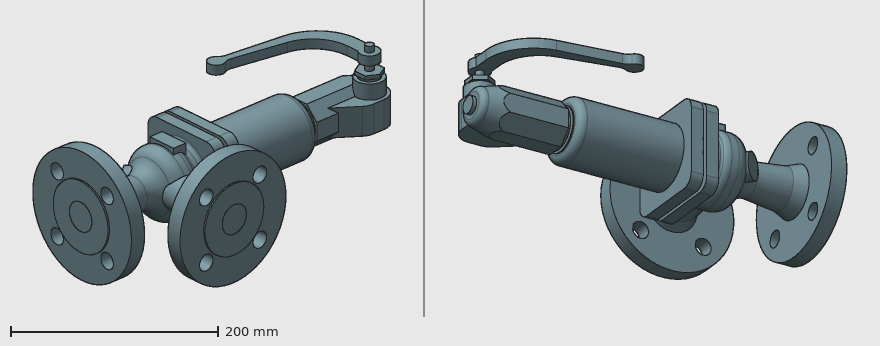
import cadquery as cq
import math


overall_width = 178.0

flange_diameter = 140.0
flange_thickness = 17.5
raised_face_radius = 38.8
raised_face_height = 2.0
face_distance = 105.0
bore_radius = 16.0
bore_mark_depth = 0.2
bolt_count = 4
bolt_circle_radius = 50.0
bolt_hole_radius = 9.0
hub_radius = 28.3
hub_start = 71.3
pipe_end_radius = 23.0
flange_radius = flange_diameter / 2
flange_back = face_distance - raised_face_height - flange_thickness

neck_radius = 35.0
neck_bottom = 18.2
neck_fillet = 4.3
bulb_radius = 39.5
bulb_top = 8.0
bulb_upper_round = 9.5
bulb_lower_round = 16.0
waist_radius = 18.5
waist_depth = 34.0
outlet_root_radius = 19.0
outlet_root_distance = 19.5

boss_angle = 38.5
boss_radius = 14.7
boss_reach = 36.0

pad_width = 33.5
pad_bottom = 2.0
pad_length = 16.3
pad_top = 43.0

square_side = 95.7
square_corner_radius = 13.0
square_thickness = 13.5
body_flange_bottom = 28.3
bonnet_flange_bottom = 45.7
gasket_radius = 42.0
gasket_thickness = 1.0
spigot_radius = 37.5
body_flange_top = body_flange_bottom + square_thickness

barrel_radius = 34.5
barrel_top = 177.0
barrel_round = 8.5
barrel_collar_radius = 24.0
barrel_collar_height = 1.0

cap_sides = 8
cap_bottom = 183.5
cap_across_flats = 49.2
cap_skirt_radius = 22.5
cap_skirt_height = 3.5
cap_neck_radius = 19.5
cap_cone_bottom = 248.0
cap_cone_bottom_radius = 27.0
cap_shoulder_radius = 20.5
cap_shoulder = 271.2
cap_crown_radius = 14.0
cap_crown = 278.2
cap_button_radius = 9.3
cap_top = 282.5

spindle_x = 21.7
spindle_y = 255.8
housing_radius = 20.5
housing_half_height = 16.3
housing_tip = (18.5, 204.0)
housing_elbow_y = 236.0
housing_elbow_round = 19.5

turret_radius = 16.3
turret_top = 33.7
gland_radius = 11.5
nut_bottom = 37.0
nut_top = 41.5
nut_across_corners = 29.5
spindle_radius = 4.5
spindle_top = 68.5

lever_bottom = 50.8
lever_thickness = 11.0
lever_eye_radius = 11.2
lever_arm_width = 17.5
outer_bend_center = (-4.3, 210.8)
outer_arm_tilt = 6.8
inner_bend_center = (-0.5, 201.5)
inner_arm_tilt = 10.7
lever_knob_radius = 9.3
lever_knob = (face_distance - overall_width + lever_knob_radius, 133.0)
lever_neck_fillet = 13.0
bend_mid_angle = 130


def cylinder_y(radius, bottom, top):
    """Cylinder along the Y axis between two heights."""
    disc = cq.Workplane("XZ", origin=(0, bottom, 0)).circle(radius)
    return disc.extrude(bottom - top)


def cylinder_on_spindle(radius, bottom, top):
    """Cylinder along the spindle axis between two heights."""
    disc = cq.Workplane("XY", origin=(spindle_x, spindle_y, bottom)).circle(radius)
    return disc.extrude(top - bottom)


def around_y(profile):
    """Turn a (radius, Y) profile about the Y axis."""
    return profile.close().revolve(360, (0, 0, 0), (0, 1, 0))


def polar(center, radius, angle):
    """Point on a circle at an angle in degrees."""
    turn = math.radians(angle)
    return (center[0] + radius * math.cos(turn), center[1] + radius * math.sin(turn))


def blend_arcs(round_center, round_radius, wall_radius, wall_y):
    """Concave arc leaving an upright wall and running smoothly into a convex arc.

    Returns the concave mid point and the point where the two arcs touch.
    """
    offset = wall_radius - round_center[0]
    rise = wall_y - round_center[1]
    radius = (offset**2 + rise**2 - round_radius**2) / (2 * (round_radius - offset))
    center = (wall_radius + radius, wall_y)
    direction = math.degrees(math.atan2(rise, offset + radius))
    touch = polar(round_center, round_radius, direction)
    middle = polar(center, radius, 180 + direction / 2)
    return middle, touch


def nozzle(root_radius, root_distance):
    """Tapered pipe with a drilled flange, pointing to -Y."""
    flange_front = flange_back + flange_thickness
    turned = around_y(
        cq.Workplane("XY")
        .moveTo(0, -root_distance)
        .lineTo(root_radius, -root_distance)
        .lineTo(pipe_end_radius, -hub_start)
        .lineTo(hub_radius, -flange_back)
        .lineTo(flange_radius, -flange_back)
        .lineTo(flange_radius, -flange_front)
        .lineTo(raised_face_radius, -flange_front)
        .lineTo(raised_face_radius, -face_distance)
        .lineTo(bore_radius, -face_distance)
        .lineTo(bore_radius, -face_distance + bore_mark_depth)
        .lineTo(0, -face_distance + bore_mark_depth)
    )
    holes = (
        cq.Workplane("XZ", origin=(0, -flange_back, 0))
        .polarArray(bolt_circle_radius, 180 / bolt_count, 360, bolt_count)
        .circle(bolt_hole_radius)
        .extrude(flange_thickness)
    )
    return turned.cut(holes)


def valve_body():
    """Neck, bulb and waist, turned about the Y axis."""
    upper_center = (bulb_radius - bulb_upper_round, bulb_top)
    lower_center = (bulb_radius - bulb_lower_round, 0)
    neck_mid, neck_touch = blend_arcs(upper_center, bulb_upper_round, neck_radius, neck_bottom)
    waist_mid, waist_touch = blend_arcs(lower_center, bulb_lower_round, waist_radius, -waist_depth)
    fillet_center = (neck_radius + neck_fillet, body_flange_bottom - neck_fillet)
    return around_y(
        cq.Workplane("XY")
        .moveTo(0, body_flange_bottom)
        .lineTo(neck_radius + neck_fillet, body_flange_bottom)
        .threePointArc(
            polar(fillet_center, neck_fillet, 135),
            (neck_radius, fillet_center[1]),
        )
        .lineTo(neck_radius, neck_bottom)
        .threePointArc(neck_mid, neck_touch)
        .threePointArc(polar(upper_center, bulb_upper_round, 20), (bulb_radius, bulb_top))
        .lineTo(bulb_radius, 0)
        .threePointArc(polar(lower_center, bulb_lower_round, -30), waist_touch)
        .threePointArc(waist_mid, (waist_radius, -waist_depth))
        .lineTo(0, -waist_depth)
    )


def side_boss():
    """Round boss leaning from the bulb towards -X and -Y."""
    boss = cq.Workplane("YZ").circle(boss_radius).extrude(-boss_reach)
    return boss.rotate((0, 0, 0), (0, 0, 1), boss_angle)


def name_pad():
    """Rectangular pad rising from the body axis to above the bulb."""
    base = cq.Workplane("XY", origin=(0, pad_bottom, 0))
    return base.box(pad_width, pad_length, pad_top, centered=(True, False, False))


def square_flange(bottom):
    """Rounded square plate across the Y axis."""
    return (
        cq.Workplane("XZ", origin=(0, bottom, 0))
        .rect(square_side, square_side)
        .extrude(-square_thickness)
        .edges("|Y")
        .fillet(square_corner_radius)
    )


def bonnet():
    """Clamping flanges, the joint between them and the spring barrel."""
    gasket_top = body_flange_top + gasket_thickness
    barrel = cylinder_y(barrel_radius, bonnet_flange_bottom, barrel_top)
    return (
        barrel.faces(">Y")
        .edges()
        .fillet(barrel_round)
        .union(square_flange(body_flange_bottom))
        .union(square_flange(bonnet_flange_bottom))
        .union(cylinder_y(gasket_radius, body_flange_top, gasket_top))
        .union(cylinder_y(spigot_radius, gasket_top, bonnet_flange_bottom))
        .union(cylinder_y(barrel_collar_radius, barrel_top, barrel_top + barrel_collar_height))
    )


def cap():
    """Octagonal cap with a turned, domed end and a stepped neck."""
    octagon_corner_diameter = cap_across_flats / math.cos(math.pi / cap_sides)
    octagon = (
        cq.Workplane("XZ", origin=(0, cap_bottom, 0))
        .polygon(cap_sides, octagon_corner_diameter)
        .extrude(cap_bottom - cap_top)
        .rotate((0, 0, 0), (0, 1, 0), 180 / cap_sides)
    )
    crown_run = cap_shoulder_radius - cap_crown_radius
    crown_rise = cap_crown - cap_shoulder
    quarter_mid = math.sin(math.radians(45))
    crown_mid = (cap_crown_radius + quarter_mid * crown_run, cap_shoulder + quarter_mid * crown_rise)
    dome = around_y(
        cq.Workplane("XY")
        .moveTo(0, cap_bottom)
        .lineTo(cap_cone_bottom_radius, cap_bottom)
        .lineTo(cap_cone_bottom_radius, cap_cone_bottom)
        .lineTo(cap_shoulder_radius, cap_shoulder)
        .threePointArc(crown_mid, (cap_crown_radius, cap_crown))
        .lineTo(cap_button_radius, cap_crown)
        .lineTo(cap_button_radius, cap_top)
        .lineTo(0, cap_top)
    )
    skirt_bottom = cap_bottom - cap_skirt_height
    return (
        octagon.intersect(dome)
        .union(cylinder_y(cap_skirt_radius, skirt_bottom, cap_bottom))
        .union(cylinder_y(cap_neck_radius, barrel_top, skirt_bottom))
    )


def lever_housing():
    """Flat lobe around the spindle, tapering back to the cap side."""
    outer_x = spindle_x + housing_radius
    housing_top_y = spindle_y + housing_radius
    return (
        cq.Workplane("XY", origin=(0, 0, -housing_half_height))
        .moveTo(0, housing_top_y)
        .lineTo(spindle_x, housing_top_y)
        .threePointArc(polar((spindle_x, spindle_y), housing_radius, 45), (outer_x, spindle_y))
        .lineTo(outer_x, housing_elbow_y)
        .lineTo(*housing_tip)
        .lineTo(0, housing_tip[1])
        .close()
        .extrude(2 * housing_half_height)
        .edges(cq.selectors.NearestToPointSelector((outer_x, housing_elbow_y, 0)))
        .fillet(housing_elbow_round)
    )


def spindle_stack():
    """Turret, gland, nut and spindle, stacked on the housing."""
    nut = (
        cq.Workplane("XY", origin=(spindle_x, spindle_y, nut_bottom))
        .polygon(6, nut_across_corners)
        .extrude(nut_top - nut_bottom)
    )
    return (
        cylinder_on_spindle(turret_radius, 0, turret_top)
        .union(cylinder_on_spindle(gland_radius, turret_top, nut_bottom))
        .union(nut)
        .union(cylinder_on_spindle(spindle_radius, nut_top, spindle_top))
    )


def lever():
    """Bent flat arm from the spindle eye to the round knob."""
    half_width = lever_arm_width / 2
    outer_radius = spindle_y + half_width - outer_bend_center[1]
    inner_radius = spindle_y - half_width - inner_bend_center[1]
    outer_end = polar(outer_bend_center, outer_radius, 180 - outer_arm_tilt)
    inner_end = polar(inner_bend_center, inner_radius, 180 - inner_arm_tilt)
    knob_x, knob_y = lever_knob

    def follow_tilt(start, tilt):
        """Carry a straight arm edge down to the level of the knob center."""
        drop = start[1] - knob_y
        return (start[0] - drop * math.tan(math.radians(tilt)), knob_y)

    arm = (
        cq.Workplane("XY", origin=(0, 0, lever_bottom))
        .moveTo(spindle_x, spindle_y + half_width)
        .lineTo(outer_bend_center[0], spindle_y + half_width)
        .threePointArc(polar(outer_bend_center, outer_radius, bend_mid_angle), outer_end)
        .lineTo(*follow_tilt(outer_end, outer_arm_tilt))
        .lineTo(*follow_tilt(inner_end, inner_arm_tilt))
        .lineTo(*inner_end)
        .threePointArc(
            polar(inner_bend_center, inner_radius, bend_mid_angle),
            (inner_bend_center[0], spindle_y - half_width),
        )
        .lineTo(spindle_x, spindle_y - half_width)
        .close()
        .extrude(lever_thickness)
    )
    knob = (
        cq.Workplane("XY", origin=(knob_x, knob_y, lever_bottom))
        .circle(lever_knob_radius)
        .extrude(lever_thickness)
    )
    eye = cylinder_on_spindle(lever_eye_radius, lever_bottom, lever_bottom + lever_thickness)
    neck_zone = cq.selectors.BoxSelector(
        (knob_x - lever_knob_radius, knob_y + lever_knob_radius / 2, lever_bottom),
        (knob_x + lever_knob_radius, knob_y + lever_knob_radius, lever_bottom + lever_thickness),
    )
    return arm.union(knob).edges("|Z").edges(neck_zone).fillet(lever_neck_fillet).union(eye)


inlet = nozzle(waist_radius, waist_depth)
outlet = nozzle(outlet_root_radius, outlet_root_distance).rotate((0, 0, 0), (0, 0, 1), 90)

result = (
    valve_body()
    .union(inlet)
    .union(outlet)
    .union(side_boss())
    .union(name_pad())
    .union(bonnet())
    .union(cap())
    .union(lever_housing())
    .union(spindle_stack())
    .union(lever())
)